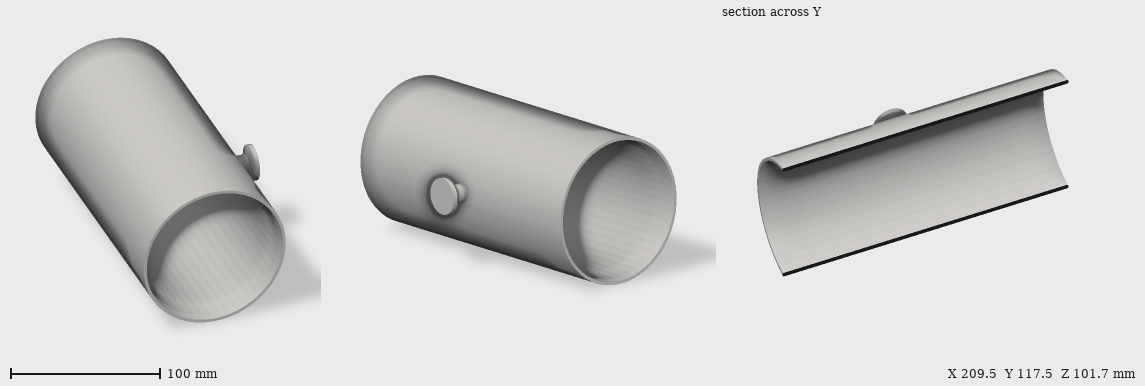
import cadquery as cq
import math

pipe_length = 209.5
pipe_diameter = 101.7
pipe_wall = 2.0
pipe_radius = pipe_diameter / 2
bore_radius = pipe_radius - pipe_wall

overall_depth = 117.5
neck_diameter = 12.8
flange_diameter = 25.0
flange_thickness = 3.1
flange_back_angle = math.radians(23)
neck_fillet = 1.5
ferrule_length = 12.8
stub_foot_fillet = 0.6

neck_radius = neck_diameter / 2
flange_radius = flange_diameter / 2
ferrule_end = overall_depth - pipe_radius
ferrule_start = ferrule_end - ferrule_length
flange_back = ferrule_end - flange_thickness
cone_foot = flange_back - (flange_radius - neck_radius) * math.tan(flange_back_angle)


def make_pipe():
    """Open tube with a solid round stub with a filleted foot on the tube wall."""
    tube = cq.Workplane("YZ").circle(pipe_radius).extrude(pipe_length / 2, both=True)
    stub = cq.Workplane("XZ").circle(neck_radius).extrude(-ferrule_start)
    bore = cq.Workplane("YZ").circle(bore_radius).extrude(pipe_length / 2, both=True)
    stub_foot = cq.selectors.BoxSelector(
        (-pipe_length / 4, 0, -neck_radius * 2),
        (pipe_length / 4, (pipe_radius + ferrule_start) / 2, neck_radius * 2),
        boundingbox=True,
    )
    body = tube.union(stub).edges(stub_foot).fillet(stub_foot_fillet)
    return body.cut(bore)


def make_ferrule():
    """Round neck and flange revolved about Y, blended where cone meets neck."""
    ferrule = (
        cq.Workplane("XY")
        .moveTo(0, ferrule_start)
        .lineTo(neck_radius, ferrule_start)
        .lineTo(neck_radius, cone_foot)
        .lineTo(flange_radius, flange_back)
        .lineTo(flange_radius, ferrule_end)
        .lineTo(0, ferrule_end)
        .close()
        .revolve(360, (0, 0, 0), (0, 1, 0))
    )
    cone_foot_edge = cq.selectors.NearestToPointSelector((0, cone_foot, 0))
    return ferrule.edges("%CIRCLE").edges(cone_foot_edge).fillet(neck_fillet)


pipe = make_pipe()
ferrule = make_ferrule()

result = cq.Compound.makeCompound([pipe.val(), ferrule.val()])